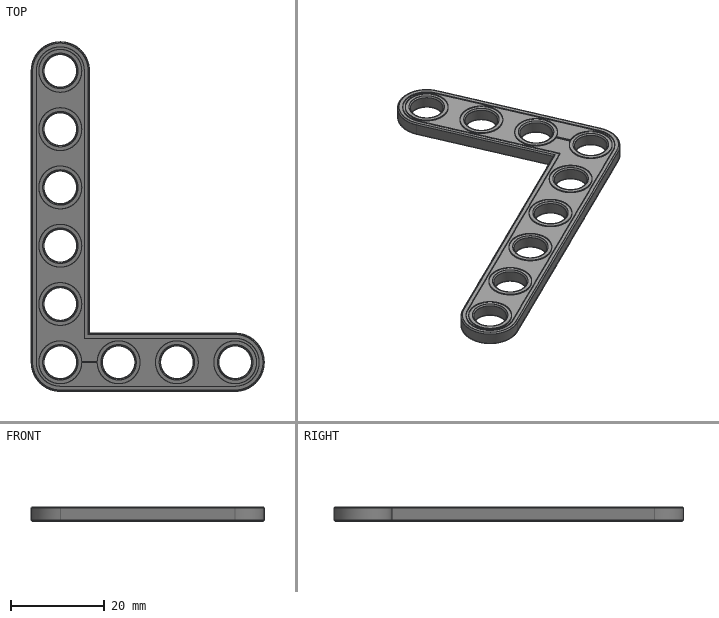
import cadquery as cq

PITCH = 12.5
HOLES_X = 4
HOLES_Y = 6
HOLE_DIAMETER = 7.0
RING_DIAMETER = 9.2
RIM_WIDTH = 1.1
RECESS_DEPTH = 0.2
EDGE_CHAMFER = 0.3
HOLE_CHAMFER = 0.3
RIB_WIDTH = 0.2

THICKNESS = PITCH / 4
ARM_RADIUS = PITCH / 2
REACH_X = (HOLES_X - 1) * PITCH
REACH_Y = (HOLES_Y - 1) * PITCH
FLOOR_Z = THICKNESS - RECESS_DEPTH

HOLE_CENTERS = [(i * PITCH, 0) for i in range(HOLES_X)]
HOLE_CENTERS += [(0, i * PITCH) for i in range(1, HOLES_Y)]


def angle_plate(radius, base_z, height):
    """L-shaped plate with round ends, offset by radius from the lines of hole centres."""
    return (
        cq.Workplane("XY", origin=(0, 0, base_z))
        .moveTo(0, -radius)
        .lineTo(REACH_X, -radius)
        .threePointArc((REACH_X + radius, 0), (REACH_X, radius))
        .lineTo(radius, radius)
        .lineTo(radius, REACH_Y)
        .threePointArc((0, REACH_Y + radius), (-radius, REACH_Y))
        .lineTo(-radius, 0)
        .radiusArc((0, -radius), -radius)
        .close()
        .extrude(height)
    )


def recess():
    """Shallow panel volume, interrupted by the hole rings and the thin rib."""
    panel = angle_plate(ARM_RADIUS - RIM_WIDTH, FLOOR_Z, RECESS_DEPTH)
    rings = (
        cq.Workplane("XY", origin=(0, 0, FLOOR_Z))
        .pushPoints(HOLE_CENTERS)
        .circle(RING_DIAMETER / 2)
        .extrude(RECESS_DEPTH)
    )
    rib = (
        cq.Workplane("XY", origin=(0, 0, FLOOR_Z))
        .rect(PITCH, RIB_WIDTH, centered=False)
        .extrude(RECESS_DEPTH)
    )
    return panel.cut(rings).cut(rib)


def hole_cutter():
    """Through hole on the Z axis with a chamfered mouth at each end."""
    hole_radius = HOLE_DIAMETER / 2
    mouth_radius = hole_radius + HOLE_CHAMFER
    return (
        cq.Workplane("XZ")
        .moveTo(0, 0)
        .lineTo(mouth_radius, 0)
        .lineTo(hole_radius, HOLE_CHAMFER)
        .lineTo(hole_radius, THICKNESS - HOLE_CHAMFER)
        .lineTo(mouth_radius, THICKNESS)
        .lineTo(0, THICKNESS)
        .close()
        .revolve(360, (0, 0, 0), (0, 1, 0))
    )


plate = angle_plate(ARM_RADIUS, 0, THICKNESS).faces("<Z or >Z").chamfer(EDGE_CHAMFER)
result = plate.cut(recess())
for x, y in HOLE_CENTERS:
    result = result.cut(hole_cutter().translate((x, y, 0)))